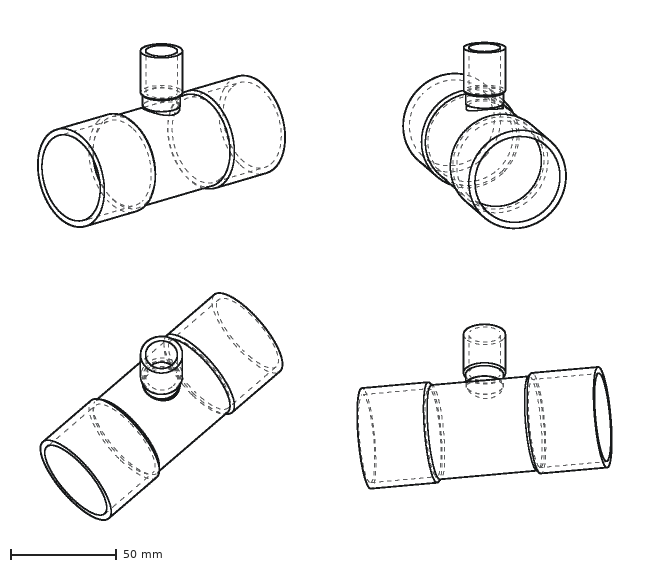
import cadquery as cq

run_length = 114.0
socket_diameter = 48.0
body_diameter = 45.0
run_bore_diameter = 42.0
socket_length = 32.0
run_bore_depth = socket_length
shoulder_length = (socket_diameter - body_diameter) / 2

overall_height = 74.5
branch_diameter = 20.0
neck_diameter = 18.0
root_diameter = 17.5
branch_bore_diameter = 15.0
branch_socket_length = 20.9
neck_bottom = 23.1
branch_bore_depth = branch_socket_length
branch_shoulder_length = (branch_diameter - neck_diameter) / 2
branch_top = overall_height - socket_diameter / 2


def make_run():
    """Revolve the stepped outside of the run about the Y axis."""
    end = run_length / 2
    socket_start = end - socket_length
    body_end = socket_start - shoulder_length
    socket_radius = socket_diameter / 2
    body_radius = body_diameter / 2
    return (
        cq.Workplane("XY")
        .moveTo(0, -end)
        .lineTo(socket_radius, -end)
        .lineTo(socket_radius, -socket_start)
        .lineTo(body_radius, -body_end)
        .lineTo(body_radius, body_end)
        .lineTo(socket_radius, socket_start)
        .lineTo(socket_radius, end)
        .lineTo(0, end)
        .close()
        .revolve(360, (0, 0, 0), (0, 1, 0))
    )


def make_branch():
    """Revolve the branch outside about Z, starting inside the run."""
    socket_start = branch_top - branch_socket_length
    neck_top = socket_start - branch_shoulder_length
    return (
        cq.Workplane("XZ")
        .lineTo(root_diameter / 2, 0)
        .lineTo(root_diameter / 2, neck_bottom)
        .lineTo(neck_diameter / 2, neck_bottom)
        .lineTo(neck_diameter / 2, neck_top)
        .lineTo(branch_diameter / 2, socket_start)
        .lineTo(branch_diameter / 2, branch_top)
        .lineTo(0, branch_top)
        .close()
        .revolve(360, (0, 0, 0), (0, 1, 0))
    )


result = make_run().union(make_branch())

for face in ("<Y", ">Y"):
    result = (
        result.faces(face)
        .workplane(centerOption="CenterOfMass")
        .hole(run_bore_diameter, run_bore_depth)
    )
result = (
    result.faces(">Z")
    .workplane(centerOption="CenterOfMass")
    .hole(branch_bore_diameter, branch_bore_depth)
)